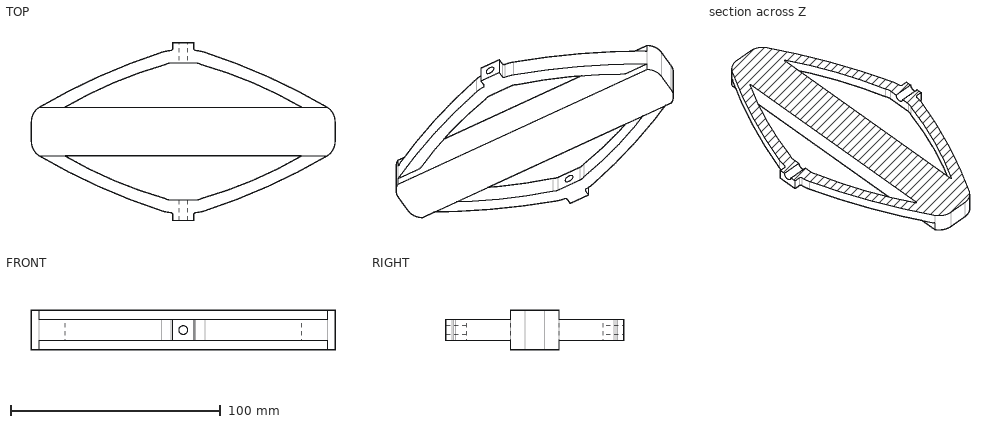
import cadquery as cq

bar_length = 145.1
bar_width = 23.2
bar_height = 19.0
bar_side_length = 137.5
bar_end_flat = 9.3
bar_end_radius = 8.3

arm_height = 10.2
arm_overlap = 1.5
outer_foot_x = bar_side_length / 2
outer_middle = (-30.2, 30.6)
outer_crown_end = (-10.3, 37.9)
outer_crown_half_flat = 6.0
outer_crown_y = 38.7
inner_foot_x = 56.5
inner_middle = (-42.0, 19.3)
inner_crown_end = (-8.5, 31.9)
inner_crown_half_flat = 6.1
inner_crown_y = 32.6

boss_width = 10.2
boss_tip_y = 85.0 / 2
boss_root_radius = outer_crown_half_flat - boss_width / 2
hole_diameter = 4.2


def make_bar():
    half_length = bar_length / 2
    half_side = bar_side_length / 2
    half_width = bar_width / 2
    half_flat = bar_end_flat / 2
    return (
        cq.Workplane("XY")
        .workplane(offset=-bar_height / 2)
        .moveTo(-half_side, -half_width)
        .lineTo(half_side, -half_width)
        .radiusArc((half_length, -half_flat), -bar_end_radius)
        .lineTo(half_length, half_flat)
        .radiusArc((half_side, half_width), -bar_end_radius)
        .lineTo(-half_side, half_width)
        .radiusArc((-half_length, half_flat), -bar_end_radius)
        .lineTo(-half_length, -half_flat)
        .radiusArc((-half_side, -half_width), -bar_end_radius)
        .close()
        .extrude(bar_height)
    )


def make_half_arm():
    """Left half of the +Y arm, from the bar to the middle of its boss."""
    foot_y = bar_width / 2
    root_y = foot_y - arm_overlap
    half_boss = boss_width / 2
    return (
        cq.Workplane("XY")
        .workplane(offset=-arm_height / 2)
        .moveTo(0, inner_crown_y)
        .lineTo(-inner_crown_half_flat, inner_crown_y)
        .tangentArcPoint(inner_crown_end, relative=False)
        .threePointArc(inner_middle, (-inner_foot_x, foot_y))
        .lineTo(-inner_foot_x, root_y)
        .lineTo(-outer_foot_x, root_y)
        .lineTo(-outer_foot_x, foot_y)
        .threePointArc(outer_middle, outer_crown_end)
        .tangentArcPoint((-outer_crown_half_flat, outer_crown_y), relative=False)
        .radiusArc((-half_boss, outer_crown_y + boss_root_radius), -boss_root_radius)
        .lineTo(-half_boss, boss_tip_y)
        .lineTo(0, boss_tip_y)
        .close()
        .extrude(arm_height)
    )


def make_arm():
    half_arm = make_half_arm()
    arm = half_arm.union(half_arm.mirror("YZ"))
    hole = (
        cq.Workplane("XZ", origin=(0, inner_crown_y, 0))
        .circle(hole_diameter / 2)
        .extrude(inner_crown_y - boss_tip_y)
    )
    return arm.cut(hole)


arm = make_arm()
result = make_bar().union(arm).union(arm.mirror("XZ")).clean()